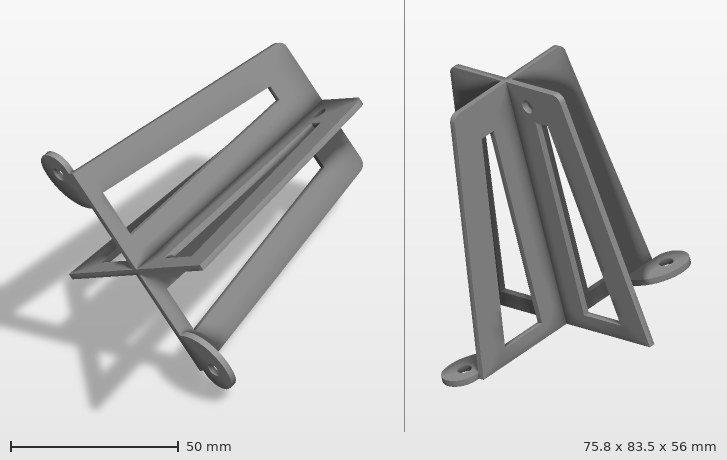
import cadquery as cq
import math

height = 83.5
thickness = 2.0
base_half_width = 36.88
tip_half_width = 23.42
corner_radius = 2.9
plate_angle = 45.0

window_inner = 10.0
window_base_margin = 5.0
window_tip_margin = 12.0
frame_width = 10.0

hole_diameter = 4.46
cross_hole_offset = 8.1
cross_hole_tip_margin = 7.0

ear_end_radius = 6.0
ear_end_offset = 38.14
ear_hole_offset = base_half_width
ear_hole_height = 6.6

face = thickness / 2
slope = (base_half_width - tip_half_width) / height
frame_width_along_x = frame_width * math.hypot(1, slope)


def half_width(y):
    """Plate half width at a height y above the base."""
    return base_half_width - slope * y


def flat_plate():
    """Tapered plate lying in the XY plane, centred on Z = 0, with both windows cut."""
    outline = [
        (-base_half_width, 0),
        (base_half_width, 0),
        (tip_half_width, height),
        (-tip_half_width, height),
    ]
    plate = cq.Workplane("XY").polyline(outline).close().extrude(face, both=True)
    plate = plate.edges("|Z and >Y").fillet(corner_radius)

    window_base = window_base_margin
    window_tip = height - window_tip_margin
    for side in (-1, 1):
        window = [
            (side * window_inner, window_base),
            (side * (half_width(window_base) - frame_width_along_x), window_base),
            (side * (half_width(window_tip) - frame_width_along_x), window_tip),
            (side * window_inner, window_tip),
        ]
        plate = plate.cut(cq.Workplane("XY").polyline(window).close().extrude(face, both=True))
    return plate


def cross_holes():
    """Pair of round cutters for the plain plate, near its far end."""
    y = height - cross_hole_tip_margin
    centres = [(-cross_hole_offset, y), (cross_hole_offset, y)]
    return cq.Workplane("XY").pushPoints(centres).circle(hole_diameter / 2).extrude(face, both=True)


def ear():
    """Mounting ear at the base of the +X half, standing on the +Z face of a flat plate."""
    end_z = face + ear_end_radius
    shift = ear_end_offset - ear_hole_offset
    centre_distance = math.hypot(shift, end_z)
    back_radius = centre_distance + ear_end_radius
    seam = (
        ear_hole_offset + back_radius * shift / centre_distance,
        back_radius * end_z / centre_distance,
    )
    root_x = ear_hole_offset - math.sqrt(back_radius**2 - face**2)
    diagonal = back_radius / math.sqrt(2)
    mid_back = (ear_hole_offset - diagonal, diagonal)

    plane = cq.Workplane("XZ", origin=(0, thickness, 0))
    body = (
        plane.moveTo(root_x, face)
        .lineTo(ear_end_offset, face)
        .threePointArc((ear_end_offset + ear_end_radius, end_z), seam)
        .threePointArc(mid_back, (root_x, face))
        .close()
        .extrude(thickness)
    )
    hole = plane.center(ear_hole_offset, ear_hole_height).circle(hole_diameter / 2).extrude(thickness)
    return body.cut(hole)


def tilt(body, angle):
    """Rotate a body about the Y axis."""
    return body.rotate((0, 0, 0), (0, 1, 0), angle)


plain_plate = flat_plate().cut(cross_holes())
eared_plate = flat_plate().union(ear()).union(tilt(ear(), 180))

result = tilt(plain_plate, -plate_angle).union(tilt(eared_plate, plate_angle))